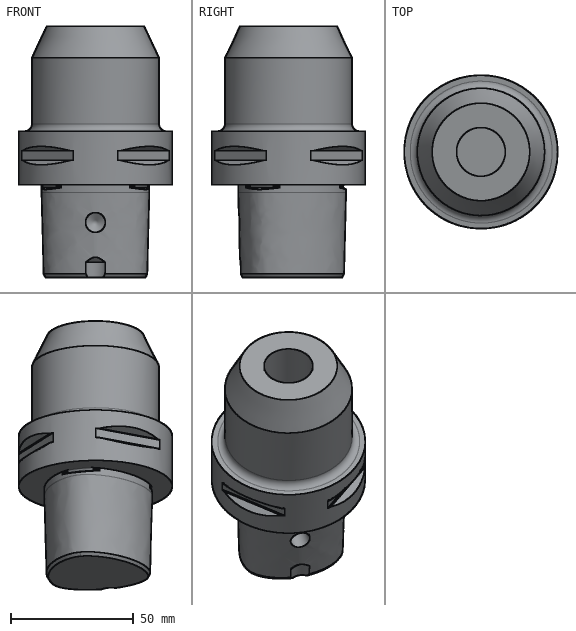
import cadquery as cq
import math


flange_diameter = 63.0
flange_height = 22.0
body_diameter = 52.2
nose_diameter = 40.0
nose_height = 13.0
head_height = 65.0
body_fillet = 3.0
bore_diameter = 20.0
bore_depth = 50.0

groove_count = 4
groove_start_angle = 45.0
groove_center_z = 12.0
groove_width = 4.0
groove_floor_distance = 27.75
groove_flare_distance = 28.4
groove_flare_angle = 30.0

shank_length = 38.0
shank_mean_diameter = 44.3
shank_eccentricity = 1.5
shank_lobe_angle = 90.0
polygon_curve_points = 72
shank_collar_length = 3.0
shank_taper_ratio = 1 / 20
shank_chamfer_height = 1.5
shank_chamfer_width = 0.85

relief_radius = 22.4
relief_fillet = 0.65
relief_straight_end = 1.2
relief_cone_angle = 30.0

side_hole_diameter = 8.1
side_hole_z = -15.4
side_hole_depth = 10.0
side_hole_point_angle = 118.0
end_slot_diameter = 10.5
end_slot_length = 6.2
end_slot_depth = 2.1
end_slot_point_angle = 90.0

flange_radius = flange_diameter / 2
body_radius = body_diameter / 2
nose_radius = nose_diameter / 2
shank_mean_radius = shank_mean_diameter / 2
shank_tapered_length = shank_length - shank_collar_length - shank_chamfer_height
shank_end_radius = shank_mean_radius - shank_tapered_length * shank_taper_ratio / 2
cut_clearance = 1.0


def make_head():
    """Flange, filleted body and conical nose turned about Z, with the blind tool bore."""
    fillet_middle = body_fillet * (1 - math.sqrt(0.5))
    profile = (
        cq.Workplane("XZ")
        .moveTo(0, 0)
        .lineTo(flange_radius, 0)
        .lineTo(flange_radius, flange_height)
        .lineTo(body_radius + body_fillet, flange_height)
        .threePointArc(
            (body_radius + fillet_middle, flange_height + fillet_middle),
            (body_radius, flange_height + body_fillet),
        )
        .lineTo(body_radius, head_height - nose_height)
        .lineTo(nose_radius, head_height)
        .lineTo(0, head_height)
        .close()
    )
    bore = (
        cq.Workplane("XY", origin=(0, 0, head_height - bore_depth))
        .circle(bore_diameter / 2)
        .extrude(bore_depth)
    )
    return profile.revolve(360, (0, 0, 0), (0, 1, 0)).cut(bore)


def make_gripper_groove():
    """One straight groove with a flat floor and flared flanks, facing +X."""
    half_width = groove_width / 2
    outer_distance = flange_radius + cut_clearance
    flare_rise = (outer_distance - groove_flare_distance) * math.tan(math.radians(groove_flare_angle))
    return (
        cq.Workplane("XZ", origin=(0, 0, groove_center_z))
        .moveTo(groove_floor_distance, -half_width)
        .lineTo(groove_flare_distance, -half_width)
        .lineTo(outer_distance, -half_width - flare_rise)
        .lineTo(outer_distance, half_width + flare_rise)
        .lineTo(groove_flare_distance, half_width)
        .lineTo(groove_floor_distance, half_width)
        .close()
        .extrude(flange_radius, both=True)
    )


def polygon_wire(mean_radius, z):
    """Closed three-lobed curve of constant width 2 * mean_radius at height z."""

    def point(turn):
        angle = 2 * math.pi * turn
        lobe_x = shank_eccentricity * (2 * math.cos(2 * angle) - math.cos(4 * angle))
        lobe_y = shank_eccentricity * (2 * math.sin(2 * angle) + math.sin(4 * angle))
        x = mean_radius * math.cos(angle) + lobe_x
        y = mean_radius * math.sin(angle) - lobe_y
        return x, y

    curve = cq.Workplane("XY").parametricCurve(point, N=polygon_curve_points)
    wire = curve.wires().val()
    return wire.rotate((0, 0, 0), (0, 0, 1), shank_lobe_angle).translate((0, 0, z))


def make_shank():
    """Straight collar, tapered length and end chamfer, all with the polygon section."""
    sections = [
        (shank_mean_radius, 0),
        (shank_mean_radius, -shank_collar_length),
        (shank_end_radius, -shank_length + shank_chamfer_height),
        (shank_end_radius - shank_chamfer_width, -shank_length),
    ]
    wires = [polygon_wire(mean_radius, z) for mean_radius, z in sections]
    shank = cq.Workplane("XY")
    for upper, lower in zip(wires, wires[1:]):
        shank = shank.add(cq.Solid.makeLoft([lower, upper], True))
    return shank.combine()


def make_lobe_relief():
    """Ring with a filleted top corner and a conical lower flank."""
    outer_radius = shank_mean_radius + 2 * shank_eccentricity
    cone_drop = (outer_radius - relief_radius) * math.tan(math.radians(relief_cone_angle))
    fillet_middle = relief_fillet * (1 - math.sqrt(0.5))
    return (
        cq.Workplane("XZ")
        .moveTo(outer_radius, 0)
        .lineTo(relief_radius + relief_fillet, 0)
        .threePointArc(
            (relief_radius + fillet_middle, -fillet_middle),
            (relief_radius, -relief_fillet),
        )
        .lineTo(relief_radius, -relief_straight_end)
        .lineTo(outer_radius, -relief_straight_end - cone_drop)
        .close()
        .revolve(360, (0, 0, 0), (0, 1, 0))
    )


def make_drill(diameter, depth, point_angle):
    """Drill shape along Z: full diameter from -cut_clearance to depth, then the point."""
    drill_radius = diameter / 2
    point_height = drill_radius / math.tan(math.radians(point_angle / 2))
    return (
        cq.Workplane("XZ")
        .moveTo(0, -cut_clearance)
        .lineTo(drill_radius, -cut_clearance)
        .lineTo(drill_radius, depth)
        .lineTo(0, depth + point_height)
        .close()
        .revolve(360, (0, 0, 0), (0, 1, 0))
    )


def flat_distance(z):
    """Distance from the Z axis to the -Y flat of the tapered shank at height z."""
    narrowing = (-z - shank_collar_length) * shank_taper_ratio / 2
    return shank_mean_radius - narrowing - shank_eccentricity


def make_side_hole():
    """Blind drilled hole entering the flat along +Y."""
    drill = make_drill(side_hole_diameter, side_hole_depth, side_hole_point_angle)
    drill = drill.rotate((0, 0, 0), (1, 0, 0), -90)
    return drill.translate((0, -flat_distance(side_hole_z), side_hole_z))


def make_end_slot():
    """Shallow slot parallel to Z whose axis lies outside the flat."""
    axis_distance = flat_distance(end_slot_length - shank_length) + end_slot_diameter / 2 - end_slot_depth
    drill = make_drill(end_slot_diameter, end_slot_length, end_slot_point_angle)
    return drill.translate((0, -axis_distance, -shank_length))


head = make_head()
for index in range(groove_count):
    groove_angle = groove_start_angle + index * 360 / groove_count
    head = head.cut(make_gripper_groove().rotate((0, 0, 0), (0, 0, 1), groove_angle))

shank = make_shank().cut(make_lobe_relief())
shank = shank.cut(make_side_hole()).cut(make_end_slot())

result = head.union(shank)